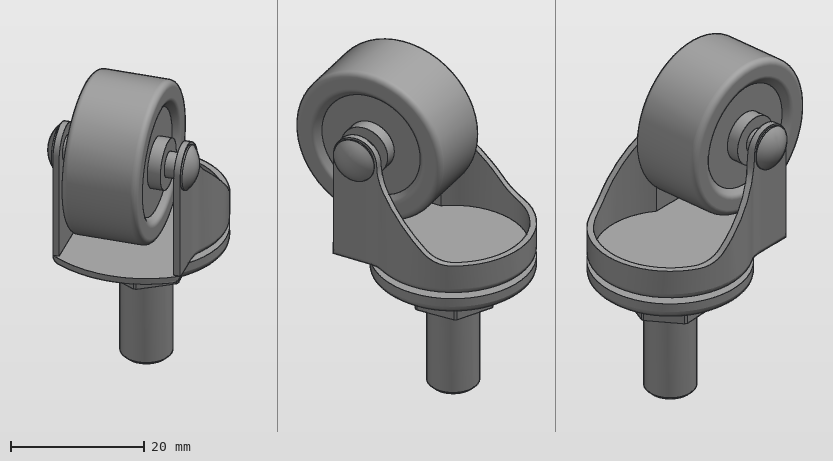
import cadquery as cq
import math


overall_height = 53.62

shank_radius = 4.0
shank_length = 15.0
shank_chamfer = 0.6
hex_height = 4.45
hex_across_flats = 11.7
hex_across_trimmed_corners = 13.25
hex_turn = 2.2
hex_corner_angle = 30
flange_radius = 12.5
flange_thickness = 2.9
flange_cone_height = 0.95
flange_cone_width = 1.2
flange_edge_radius = 1.0
swivel_gap = 0.65

sheet = 1.0
cup_radius = flange_radius
lip_radius = 18.0
ear_outer_x = 10.0
ear_bend_radius = 6.0
bottom_edge_radius = 1.0
rear_wall_height = 5.1
slope_start_y = 6.0
slope_lower_radius = 6.0
slope_upper_radius = 5.0
slope_angle = math.radians(45)

axle_y = -11.33
axle_radius = 2.0
head_radius = 3.5
head_rim = 0.27
dome_radius = 5.0

wheel_radius = 12.6
wheel_width = 12.0
wheel_edge_radius = 1.0
recess_mouth_radius = 9.49
recess_floor_radius = 8.45
recess_rim_radius = 1.0
recess_depth = recess_mouth_radius - recess_floor_radius
hub_radius = 4.0
hub_width = 14.0

hex_bottom = shank_length
flange_bottom = hex_bottom + hex_height
flange_top = flange_bottom + flange_thickness
fork_bottom = flange_top + swivel_gap
rear_wall_top = fork_bottom + rear_wall_height
axle_z = overall_height - wheel_radius
ear_front_y = -math.sqrt(lip_radius**2 - ear_outer_x**2)


def make_hexagon(across_flats, turn):
    """Hexagonal prism at the hex collar; at zero turn, two corners lie on the Y axis."""
    prism = cq.Workplane("XY", origin=(0, 0, hex_bottom))
    prism = prism.polygon(6, across_flats, circumscribed=True).extrude(hex_height)
    return prism.rotate((0, 0, 0), (0, 0, 1), turn)


def make_stem():
    shank = cq.Workplane("XY").circle(shank_radius).extrude(flange_bottom)
    shank = shank.faces("<Z").chamfer(shank_chamfer)

    hexagon = make_hexagon(hex_across_flats, hex_turn)
    corner_trimmer = make_hexagon(hex_across_trimmed_corners, hex_turn + hex_corner_angle)
    hexagon = hexagon.intersect(corner_trimmer)

    flange = (
        cq.Workplane("XZ")
        .moveTo(0, flange_bottom)
        .lineTo(flange_radius - flange_cone_width, flange_bottom)
        .lineTo(flange_radius, flange_bottom + flange_cone_height)
        .lineTo(flange_radius, flange_top)
        .lineTo(0, flange_top)
        .close()
        .revolve(360, (0, 0, 0), (0, 1, 0))
    )
    cone_top_edge = cq.NearestToPointSelector((0, 0, flange_bottom + flange_cone_height))
    flange = flange.edges("%CIRCLE").edges(cone_top_edge).fillet(flange_edge_radius)
    return shank.union(hexagon).union(flange)


def cup_outline(inset):
    """Closed plan outline: the cup circle at the rear, flat ear sides and the lip arc in front."""
    radius = cup_radius - inset
    side_x = ear_outer_x - inset
    side_rear_y = -math.sqrt(radius**2 - side_x**2)
    side_front_y = -math.sqrt(lip_radius**2 - side_x**2)
    return (
        cq.Workplane("XY", origin=(0, 0, fork_bottom))
        .moveTo(side_x, side_front_y)
        .lineTo(side_x, side_rear_y)
        .threePointArc((0, radius), (-side_x, side_rear_y))
        .lineTo(-side_x, side_front_y)
        .threePointArc((0, -lip_radius), (side_x, side_front_y))
        .close()
    )


def side_profile():
    """Side outline of the walls: low at the rear, sloping up to round ears at the front."""
    sin_slope = math.sin(slope_angle)
    cos_slope = math.cos(slope_angle)
    sin_half = math.sin(slope_angle / 2)
    cos_half = math.cos(slope_angle / 2)

    low_center_z = rear_wall_top + slope_lower_radius
    low_mid_y = slope_start_y - slope_lower_radius * sin_half
    low_mid_z = low_center_z - slope_lower_radius * cos_half
    low_end_y = slope_start_y - slope_lower_radius * sin_slope
    low_end_z = low_center_z - slope_lower_radius * cos_slope

    high_start_z = axle_z - slope_upper_radius * sin_slope
    high_start_y = low_end_y - (high_start_z - low_end_z) / math.tan(slope_angle)
    ear_rear_y = high_start_y - slope_upper_radius * (1 - cos_slope)
    high_center_y = ear_rear_y + slope_upper_radius
    high_mid_y = high_center_y - slope_upper_radius * cos_half
    high_mid_z = axle_z - slope_upper_radius * sin_half

    ear_radius = (ear_rear_y - ear_front_y) / 2
    ear_center_y = (ear_rear_y + ear_front_y) / 2
    return (
        cq.Workplane("YZ")
        .moveTo(cup_radius, fork_bottom)
        .lineTo(cup_radius, rear_wall_top)
        .lineTo(slope_start_y, rear_wall_top)
        .threePointArc((low_mid_y, low_mid_z), (low_end_y, low_end_z))
        .lineTo(high_start_y, high_start_z)
        .threePointArc((high_mid_y, high_mid_z), (ear_rear_y, axle_z))
        .threePointArc((ear_center_y, axle_z + ear_radius), (ear_front_y, axle_z))
        .lineTo(ear_front_y, fork_bottom)
        .close()
        .extrude(cup_radius, both=True)
    )


def make_axle():
    """Axle with a domed head outside each ear."""
    rim_x = ear_outer_x + head_rim
    dome_center_x = rim_x - math.sqrt(dome_radius**2 - head_radius**2)
    tip_x = dome_center_x + dome_radius
    dome_mid_angle = math.asin(head_radius / dome_radius) / 2
    dome_mid_x = dome_center_x + dome_radius * math.cos(dome_mid_angle)
    dome_mid_z = dome_radius * math.sin(dome_mid_angle)
    return (
        cq.Workplane("XZ", origin=(0, axle_y, axle_z))
        .moveTo(-tip_x, 0)
        .threePointArc((-dome_mid_x, dome_mid_z), (-rim_x, head_radius))
        .lineTo(-ear_outer_x, head_radius)
        .lineTo(-ear_outer_x, axle_radius)
        .lineTo(ear_outer_x, axle_radius)
        .lineTo(ear_outer_x, head_radius)
        .lineTo(rim_x, head_radius)
        .threePointArc((dome_mid_x, dome_mid_z), (tip_x, 0))
        .close()
        .revolve(360, (0, 0, 0), (1, 0, 0))
    )


def make_fork():
    """Sheet cup with its floor, two ears and the riveted axle."""
    wall_height = overall_height - fork_bottom
    shell = cup_outline(0).extrude(wall_height)
    bent_edges = shell.faces("<Z").edges().filter(lambda edge: edge.Center().y > ear_front_y)
    shell = shell.newObject(bent_edges.vals()).fillet(bottom_edge_radius)

    ear_corner_y = -math.sqrt(cup_radius**2 - ear_outer_x**2)
    for side in (-1, 1):
        corner = cq.NearestToPointSelector((side * ear_outer_x, ear_corner_y, axle_z))
        shell = shell.edges("|Z").edges(corner).fillet(ear_bend_radius)

    cavity = cup_outline(sheet).extrude(wall_height).translate((0, 0, sheet))
    shell = shell.cut(cavity)

    floor_zone = cq.Workplane("XY", origin=(0, 0, fork_bottom)).circle(lip_radius).extrude(sheet)
    shell = shell.intersect(side_profile().union(floor_zone))
    return shell.union(make_axle())


def make_wheel():
    """Wheel with a dished recess on each side and a hub, bored to fit the axle."""
    half_width = wheel_width / 2
    wheel = cq.Workplane("YZ").circle(wheel_radius).extrude(half_width, both=True)
    wheel = wheel.edges("%CIRCLE").fillet(wheel_edge_radius)

    for side in (-1, 1):
        mouth_center = cq.Vector(side * half_width, 0, 0)
        inward = cq.Vector(-side, 0, 0)
        cone = cq.Solid.makeCone(recess_mouth_radius, recess_floor_radius, recess_depth, mouth_center, inward)
        wheel = wheel.cut(cq.Workplane(cone))
        side_face = wheel.faces(">X" if side > 0 else "<X")
        wheel = side_face.edges(cq.selectors.RadiusNthSelector(0)).fillet(recess_rim_radius)

    hub = cq.Workplane("YZ").circle(hub_radius).extrude(hub_width / 2, both=True)
    bore = cq.Workplane("YZ").circle(axle_radius).extrude(hub_width / 2, both=True)
    wheel = wheel.union(hub).cut(bore)
    return wheel.translate((0, axle_y, axle_z))


stem = make_stem()
fork = make_fork()
wheel = make_wheel()

result = cq.Compound.makeCompound([body.solids().val() for body in (stem, fork, wheel)])